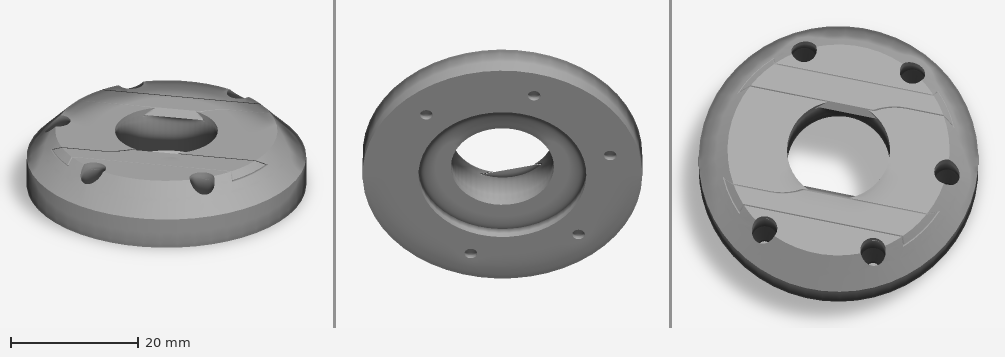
import cadquery as cq
import math

outer_diameter = 44.0
height = 9.5
edge_chamfer = 4.55
bore_diameter = 16.2
recess_diameter = 26.4
recess_depth = 1.9

screw_places = 6
empty_place = 1
screw_circle_radius = 17.4
screw_diameter = 2.0
head_diameter = 4.0
head_depth = 5.0
seat_half_angle = 15.0

slot_angle = 60.0
slot_depth = 1.2
slot_outer_offset = 12.0
slot_inner_offset = 7.45
narrow_inner_offset = 8.9
slot_blend_radius = 9.33
gib_blend_radius = 10.0
blend_end = 9.15

floor_clearance = 0.18
flank_gap = 0.15
flank_clearance = flank_gap * math.sqrt(2)

bar_length = 1.2 * outer_diameter
overrun = 0.45


def ring_blank():
    """Disc with a 45 degree chamfer around its top edge."""
    disc = cq.Workplane("XY").circle(outer_diameter / 2).extrude(height)
    return disc.faces(">Z").edges().chamfer(edge_chamfer)


def dovetail(depth, clearance, blend_radius):
    """Tapered bar along X, wide for X below blend_end and narrow above it.

    The bar reaches above the top face, where it keeps on tapering.
    The clearance moves both flanks inward at the top face level.
    """
    inner = slot_inner_offset + clearance
    outer = slot_outer_offset - clearance
    narrow = narrow_inner_offset + clearance
    bottom = height - depth
    top = height + overrun

    bar = (
        cq.Workplane("YZ", origin=(-bar_length / 2, 0, 0))
        .polyline([
            (inner - depth, bottom),
            (outer + depth, bottom),
            (outer - overrun, top),
            (inner + overrun, top),
        ])
        .close()
        .extrude(bar_length)
    )
    narrowing = (
        cq.Workplane("YZ", origin=(blend_end, 0, 0))
        .polyline([
            (0, bottom),
            (narrow - depth, bottom),
            (narrow + overrun, top),
            (0, top),
        ])
        .close()
        .extrude(bar_length)
    )
    blend_cone = cq.Workplane(cq.Solid.makeCone(
        blend_radius - depth,
        blend_radius + overrun,
        depth + overrun,
        pnt=cq.Vector(blend_end, narrow - blend_radius, bottom),
    ))
    return bar.cut(narrowing).cut(blend_cone)


def place_dovetail(shape, half_turns):
    """Turn a bar to the slot direction, on one side of the bore or the other."""
    return shape.rotate((0, 0, 0), (0, 0, 1), slot_angle + 180 * half_turns)


def screw_hole():
    """Through hole with a cylindrical head recess and a conical seat."""
    screw_radius = screw_diameter / 2
    head_radius = head_diameter / 2
    head_bottom = height - head_depth
    seat_length = (head_radius - screw_radius) / math.tan(math.radians(seat_half_angle))
    seat_bottom = head_bottom - seat_length
    return (
        cq.Workplane("XZ")
        .polyline([
            (0, 0),
            (screw_radius, 0),
            (screw_radius, seat_bottom),
            (head_radius, head_bottom),
            (head_radius, height),
            (0, height),
        ])
        .close()
        .revolve(360, (0, 0, 0), (0, 1, 0))
        .translate((screw_circle_radius, 0, 0))
    )


def make_ring():
    """Ring with its bore, underside recess, two dovetail slots and screw holes."""
    bore = cq.Workplane("XY").circle(bore_diameter / 2).extrude(height)
    recess = cq.Workplane("XY").circle(recess_diameter / 2).extrude(recess_depth)
    ring = ring_blank().cut(bore).cut(recess)
    slot = dovetail(slot_depth, 0, slot_blend_radius)
    for half_turns in range(2):
        ring = ring.cut(place_dovetail(slot, half_turns))
    for place in range(screw_places):
        if place != empty_place:
            angle = place * 360 / screw_places
            ring = ring.cut(screw_hole().rotate((0, 0, 0), (0, 0, 1), angle))
    return ring


def make_gib(half_turns):
    """Dovetail bar lying in one slot, its ends and top flush with the ring."""
    bar = dovetail(slot_depth - floor_clearance, flank_clearance, gib_blend_radius)
    return place_dovetail(bar, half_turns).intersect(ring_blank())


ring = make_ring()
gibs = [make_gib(half_turns) for half_turns in range(2)]
result = cq.Compound.makeCompound([ring.val(), *[gib.val() for gib in gibs]])